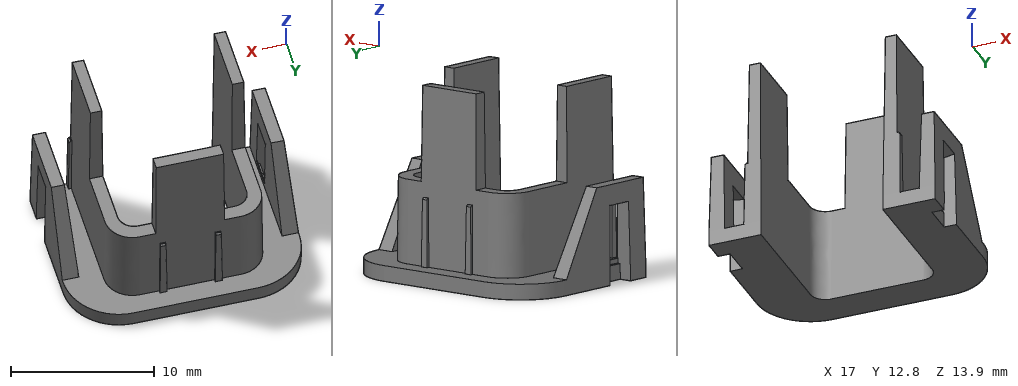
import cadquery as cq
import math

half_width = 8.5
depth = 12.8
plate_thickness = 1.12
plate_corner_radius = 4.0
height = 13.91

wall_height = 7.11
wall_half_width = 5.68
wall_back = 11.28
wall_corner_radius = 2.04
wall_draft = 0.7
opening_half_width = 4.58
opening_depth = 10.12
opening_corner_radius = 1.1
opening_draft = 0.5

back_tab_half_width = 2.48
side_tab_length = 5.09
tab_draft = 0.5

panel_thickness = 1.19
panel_foot_length = 8.59
panel_top_length = 5.17
panel_draft = 1.2

window_center = 2.77
window_width = 2.21
window_draft = 1.0
window_outer_top = 5.66
window_inner_top = 5.45
sill_top = 1.48
notch_depth = 0.92
sill_thickness = 0.07

rib_width = 0.51
rib_projection = 0.2
rib_root = 0.34
rib_top = 6.02
rib_chamfer = 0.12
rib_draft = 0.7
back_rib_center = 1.99

clearance = 1.7


def rounded_block(half_x, y_front, y_back, radius, z, rise, draft=0.0):
    """Block with rounded rear corners, optionally drafted."""
    y_mid = (y_front + y_back) / 2
    footprint = (
        cq.Sketch()
        .push([(0, y_mid)])
        .rect(2 * half_x, y_back - y_front)
        .reset()
        .vertices(">Y")
        .fillet(radius)
    )
    return cq.Workplane("XY").workplane(offset=z).placeSketch(footprint).extrude(rise, taper=draft)


def drafted_box(x_range, y_range, z, rise, draft):
    """Box whose four sides lean inwards as it rises."""
    (x0, x1), (y0, y1) = x_range, y_range
    return (
        cq.Workplane("XY", origin=((x0 + x1) / 2, (y0 + y1) / 2, z))
        .rect(x1 - x0, y1 - y0)
        .extrude(rise, taper=draft)
    )


def both_sides(shape):
    return shape.union(shape.mirror("YZ"))


def make_wall():
    wall = rounded_block(
        wall_half_width, 0, wall_back, wall_corner_radius,
        plate_thickness, height - plate_thickness, wall_draft,
    )
    lower_zone = cq.Workplane("XY").box(
        2 * half_width, 2 * depth, wall_height, centered=(True, True, False)
    )
    tab_rise = height - wall_height
    tab_lean = tab_rise * math.tan(math.radians(tab_draft))
    back_tab_zone = (
        cq.Workplane("XZ", origin=(0, depth, 0))
        .moveTo(-back_tab_half_width, wall_height)
        .lineTo(back_tab_half_width, wall_height)
        .lineTo(back_tab_half_width - tab_lean, height)
        .lineTo(tab_lean - back_tab_half_width, height)
        .close()
        .extrude(depth / 2)
    )
    side_tab_zone = (
        cq.Workplane("YZ")
        .moveTo(-clearance, wall_height)
        .lineTo(side_tab_length, wall_height)
        .lineTo(side_tab_length - tab_lean, height)
        .lineTo(-clearance, height)
        .close()
        .extrude(half_width, both=True)
    )
    return wall.intersect(lower_zone.union(back_tab_zone).union(side_tab_zone))


def make_panel():
    """Panel on the -X side."""
    panel = drafted_box(
        (-half_width, panel_thickness - half_width),
        (0, panel_foot_length + clearance),
        plate_thickness, wall_height - plate_thickness, panel_draft,
    )
    side_profile = (
        cq.Workplane("YZ", origin=(-half_width, 0, 0))
        .moveTo(0, plate_thickness)
        .lineTo(panel_foot_length, plate_thickness)
        .lineTo(panel_top_length, wall_height)
        .lineTo(0, wall_height)
        .close()
        .extrude(panel_thickness)
    )
    return panel.intersect(side_profile)


def make_window():
    """Cutter for the -X side: plate notch, ledge, sill and sloping window head."""
    inner_face = panel_thickness - half_width
    notch_face = notch_depth - half_width
    sill_face = inner_face - sill_thickness
    profile = (
        cq.Workplane("XZ", origin=(0, window_center + window_width, 0))
        .moveTo(-half_width, 0)
        .lineTo(notch_face, 0)
        .lineTo(notch_face, plate_thickness)
        .lineTo(sill_face, plate_thickness)
        .lineTo(sill_face, sill_top)
        .lineTo(inner_face, sill_top)
        .lineTo(inner_face, window_inner_top)
        .lineTo(-half_width, window_outer_top)
        .close()
        .extrude(2 * window_width)
    )
    sides = drafted_box(
        (-half_width - clearance, inner_face + clearance),
        (window_center - window_width / 2, window_center + window_width / 2),
        0, wall_height, window_draft,
    )
    return profile.intersect(sides)


def make_rib(x_range, y_range, outer_edge):
    rib = drafted_box(x_range, y_range, plate_thickness, rib_top - plate_thickness, rib_draft)
    return rib.faces(">Z").edges(outer_edge).chamfer(rib_chamfer)


plate = rounded_block(half_width, 0, depth, plate_corner_radius, 0, plate_thickness)
side_rib = make_rib(
    (-wall_half_width - rib_projection, rib_root - wall_half_width), (0, rib_width), "<X"
)
back_rib = make_rib(
    (-back_rib_center - rib_width / 2, -back_rib_center + rib_width / 2),
    (wall_back - rib_root, wall_back + rib_projection), ">Y",
)
opening = rounded_block(
    opening_half_width, -clearance, opening_depth, opening_corner_radius,
    0, height, -opening_draft,
)

result = (
    plate.union(make_wall())
    .union(both_sides(make_panel()))
    .union(both_sides(side_rib))
    .union(both_sides(back_rib))
    .cut(opening)
    .cut(both_sides(make_window()))
)